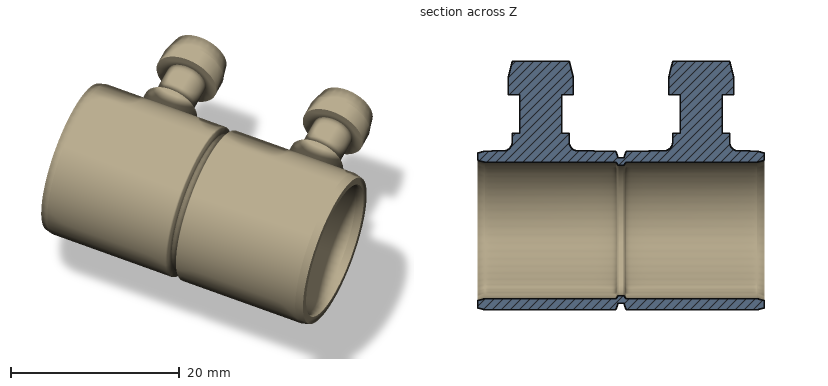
import cadquery as cq

sleeve_length = 34.0
sleeve_radius = 18.9 / 2
bore_radius = 16.1 / 2
end_taper_length = 0.9
end_taper_depth = 0.25
mouth_taper_length = end_taper_length
mouth_taper_depth = 0.25

groove_floor_radius = 17.3 / 2
groove_floor_width = 0.65
groove_mouth_width = 1.2
groove_edge_radius = 0.2
match_tolerance = 0.01
rib_radius = 15.4 / 2
rib_crest_width = groove_floor_width
rib_base_width = groove_mouth_width

stud_spacing = 19.0
stud_tip_y = 20.05
head_radius = 7.8 / 2
head_tip_radius = 6.8 / 2
head_cone_length = 2.0
head_rim_length = 2.0
neck_radius = 5.0 / 2
collar_radius = 6.8 / 2
collar_top_y = 11.55
root_fillet = 1.0
stud_root_y = (bore_radius + sleeve_radius) / 2


def make_sleeve_blank():
    """Solid bar with tapered ends, revolved about X."""
    half = sleeve_length / 2
    profile = (
        cq.Workplane("XZ")
        .moveTo(-half, 0)
        .lineTo(-half, sleeve_radius - end_taper_depth)
        .lineTo(-half + end_taper_length, sleeve_radius)
        .lineTo(half - end_taper_length, sleeve_radius)
        .lineTo(half, sleeve_radius - end_taper_depth)
        .lineTo(half, 0)
        .close()
    )
    return profile.revolve(360, (0, 0, 0), (1, 0, 0))


def cut_groove(body):
    """V-sided ring groove around the middle, with rounded outer edges."""
    half_floor = groove_floor_width / 2
    half_mouth = groove_mouth_width / 2
    cutter = (
        cq.Workplane("XZ")
        .moveTo(-half_floor, groove_floor_radius)
        .lineTo(half_floor, groove_floor_radius)
        .lineTo(half_mouth, sleeve_radius)
        .lineTo(-half_mouth, sleeve_radius)
        .close()
        .revolve(360, (0, 0, 0), (1, 0, 0))
    )
    body = body.cut(cutter)
    mouth_edges = body.edges("%CIRCLE").filter(
        lambda edge: abs(abs(edge.Center().x) - half_mouth) < match_tolerance
    )
    return mouth_edges.fillet(groove_edge_radius)


def make_stud(x):
    """Stepped pin with a collar, neck and tapered head, revolved about Y."""
    rim_top_y = stud_tip_y - head_cone_length
    rim_bottom_y = rim_top_y - head_rim_length
    profile = (
        cq.Workplane("XY")
        .moveTo(x, stud_root_y)
        .lineTo(x + collar_radius, stud_root_y)
        .lineTo(x + collar_radius, collar_top_y)
        .lineTo(x + neck_radius, collar_top_y)
        .lineTo(x + neck_radius, rim_bottom_y)
        .lineTo(x + head_radius, rim_bottom_y)
        .lineTo(x + head_radius, rim_top_y)
        .lineTo(x + head_tip_radius, stud_tip_y)
        .lineTo(x, stud_tip_y)
        .close()
    )
    return profile.revolve(360, (x, 0, 0), (x, 1, 0))


def add_stud(body, x):
    """Join one stud to the sleeve and fillet its root."""
    body = body.union(make_stud(x))
    reach = collar_radius + root_fillet
    root_box = cq.selectors.BoxSelector(
        (x - reach, bore_radius, -reach),
        (x + reach, sleeve_radius + root_fillet / 2, reach),
    )
    return body.edges(root_box).edges("not %LINE").fillet(root_fillet)


def make_bore():
    """Through-bore with flared mouths, narrowed at mid-length by a rib."""
    half = sleeve_length / 2
    mouth_radius = bore_radius + mouth_taper_depth
    profile = (
        cq.Workplane("XZ")
        .moveTo(-half, 0)
        .lineTo(-half, mouth_radius)
        .lineTo(-half + mouth_taper_length, bore_radius)
        .lineTo(-rib_base_width / 2, bore_radius)
        .lineTo(-rib_crest_width / 2, rib_radius)
        .lineTo(rib_crest_width / 2, rib_radius)
        .lineTo(rib_base_width / 2, bore_radius)
        .lineTo(half - mouth_taper_length, bore_radius)
        .lineTo(half, mouth_radius)
        .lineTo(half, 0)
        .close()
    )
    return profile.revolve(360, (0, 0, 0), (1, 0, 0))


sleeve = cut_groove(make_sleeve_blank())
for stud_x in (-stud_spacing / 2, stud_spacing / 2):
    sleeve = add_stud(sleeve, stud_x)
result = sleeve.cut(make_bore())